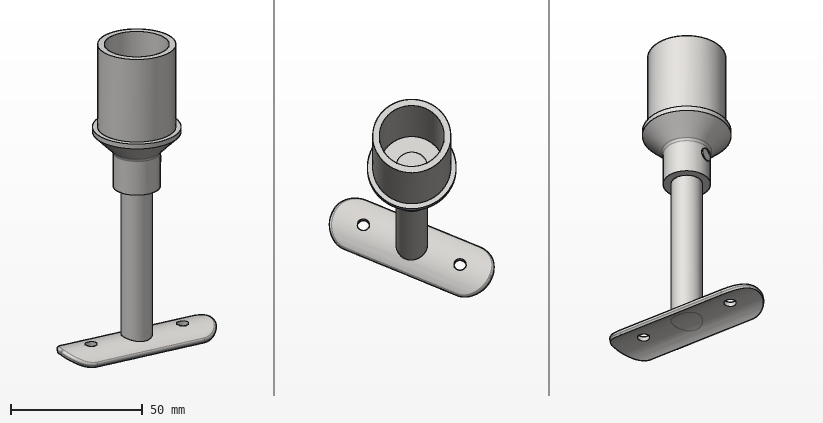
import cadquery as cq
import math


rail_radius = 16.85
plate_thickness = 2.0
plate_length = 66.0
plate_half_angle = 36.25
plate_corner_radius = 9.6
plate_edge_fillet = 1.0
screw_hole_diameter = 4.6
screw_hole_spacing = 40.0

stem_diameter = 12.0

insert_diameter = 29.7
insert_bore_diameter = 24.6
insert_length = 34.0
flange_diameter = 33.7
flange_thickness = 2.0
collar_diameter = 18.0
collar_fillet = 1.6
socket_length = 58.4

set_screw_diameter = 5.2
set_screw_protrusion = 0.2
set_screw_below_insert = 14.3

overall_height = 124.43
rail_axis_z = -(rail_radius + plate_thickness)
plate_bottom_z = rail_axis_z + rail_radius * math.cos(math.radians(plate_half_angle))
socket_top_z = plate_bottom_z + overall_height
socket_bottom_z = socket_top_z - socket_length
flange_top_z = socket_top_z - insert_length
flange_bottom_z = flange_top_z - flange_thickness
set_screw_z = flange_top_z - set_screw_below_insert

stem_radius = stem_diameter / 2
collar_radius = collar_diameter / 2
flange_radius = flange_diameter / 2


def rail_cylinder():
    """The round rail that the saddle plate sits on."""
    return (
        cq.Workplane("XZ", origin=(0, 0, rail_axis_z))
        .circle(rail_radius)
        .extrude(plate_length, both=True)
    )


def saddle_plate():
    """Round-cornered patch of the rail surface, thickened outward so that its edge walls are radial."""
    plate_width = 2 * rail_radius * math.sin(math.radians(plate_half_angle))
    outline = (
        cq.Workplane("XY", origin=(0, 0, rail_axis_z))
        .rect(plate_width, plate_length)
        .extrude(2 * rail_radius)
        .edges("|Z")
        .fillet(plate_corner_radius)
    )
    patch = rail_cylinder().intersect(outline).faces(">Z").val()
    plate = cq.Workplane(patch.thicken(plate_thickness))
    return plate.faces("%CYLINDER").faces(">Z").edges().fillet(plate_edge_fillet)


def screw_holes():
    """Two vertical through holes for the screws that hold the plate to the rail."""
    return (
        cq.Workplane("XY", origin=(0, 0, rail_axis_z))
        .rarray(1, screw_hole_spacing, 1, 2)
        .circle(screw_hole_diameter / 2)
        .extrude(2 * rail_radius)
    )


def build_stand():
    """Saddle plate with the stem welded on; the stem ends flush with the floor of the socket."""
    stem = (
        cq.Workplane("XY", origin=(0, 0, rail_axis_z))
        .circle(stem_radius)
        .extrude(flange_top_z - rail_axis_z)
        .cut(rail_cylinder())
    )
    return saddle_plate().cut(screw_holes()).union(stem)


def set_screw_cylinder(start_y):
    """Cylinder on the set screw axis, from start_y to just outside the collar."""
    end_y = collar_radius + set_screw_protrusion
    return (
        cq.Workplane("XZ", origin=(0, end_y, set_screw_z))
        .circle(set_screw_diameter / 2)
        .extrude(end_y - start_y)
    )


def build_set_screw():
    """Plain screw whose flat tip presses on the stem."""
    return set_screw_cylinder(stem_radius)


def build_socket():
    """Turned socket: tube insert, flange, 45 degree cone and collar, bored for the stem and set screw."""
    cone_height = flange_radius - collar_radius
    body = (
        cq.Workplane("XZ")
        .moveTo(0, socket_bottom_z)
        .lineTo(collar_radius, socket_bottom_z)
        .lineTo(collar_radius, flange_bottom_z - cone_height)
        .lineTo(flange_radius, flange_bottom_z)
        .lineTo(flange_radius, flange_top_z)
        .lineTo(insert_diameter / 2, flange_top_z)
        .lineTo(insert_diameter / 2, socket_top_z)
        .lineTo(0, socket_top_z)
        .close()
        .revolve(360, (0, 0, 0), (0, 1, 0))
    )
    neck_center = (0, 0, flange_bottom_z - cone_height)
    body = body.edges(cq.selectors.NearestToPointSelector(neck_center)).fillet(collar_fillet)
    bore = cq.Workplane("XY", origin=(0, 0, flange_top_z)).circle(insert_bore_diameter / 2).extrude(insert_length)
    stem_bore = cq.Workplane("XY", origin=(0, 0, socket_bottom_z)).circle(stem_radius).extrude(socket_length)
    return body.cut(bore).cut(stem_bore).cut(set_screw_cylinder(0))


stand = build_stand()
socket = build_socket()
set_screw = build_set_screw()

result = cq.Compound.makeCompound([stand.val(), socket.val(), set_screw.val()])